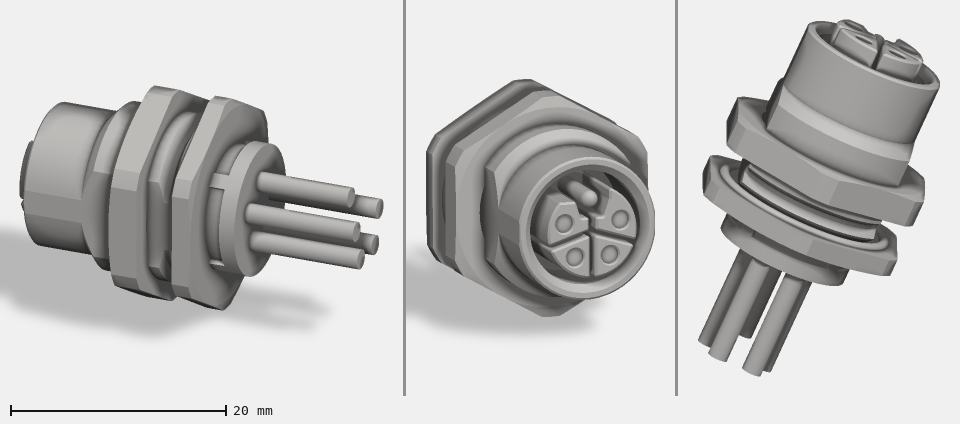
import cadquery as cq
import math


insert_radius = 4.4
insert_edge_chamfer = 0.2
insert_base_x = 7.5
slot_width = 0.5
stub_width = 0.68
slot_tilt = 17.5
block_corner_radius = 0.22
recess_floor_z = 1.36
recess_floor_half_width = 1.12
recess_shoulder_z = 2.97
recess_shoulder_half_width = 1.67

socket_positions = [(2.77, 0.9), (-2.77, 0.9), (1.72, -2.36), (-1.72, -2.36)]
socket_radius = 0.85
socket_chamfer = 0.15
socket_depth = 0.5
pin_z = 2.95
pin_radius = 0.8
pin_tip_x = 0.25
wire_radius = 0.95
wire_end_x = 33.38
center_wire_end_x = 31.66

shell_front_x = 1.41
shell_edge_chamfer = 0.2
shell_radius = 6.8
cone_start_x = 7.28
cone_end_x = 8.48
thread_radius = 8.0
flat_half_width = 6.7
mouth_radius = 6.1
bore_radius = 5.43
mouth_cone_length = 0.75
bore_floor_x = 8.5

groove_start_x = 15.1
groove_floor_start_x = 15.62
groove_floor_end_x = 16.06
groove_radius = 7.12
ridge_x = 16.64
neck_radius = 6.9

nut_front_x = 11.17
nut_back_x = 14.0
nut_bore_radius = 7.16
rear_hex_front_x = 17.57
rear_hex_back_x = 19.42
rear_hex_turn = -0.57
hex_across_flats = 19.0
corner_radius = 10.5
bevel_radius = 9.5
nut_bevel_depth = 0.27
rear_hex_bevel_depth = 0.19

seal_ring_radius = 8.12
seal_section_radius = 0.48

flange_start_x = 20.97
flange_end_x = 22.5
collar_radius = 5.82
flange_radius = 6.28
rib_count = 4
first_rib_angle = 44.5
rib_spread = 13.0


def yz_plane(x):
    """Sketch plane normal to the axis; local x is +Y and local y is +Z."""
    return cq.Workplane("YZ", origin=(x, 0, 0))


def disc(x_start, x_end, radius):
    return yz_plane(x_start).circle(radius).extrude(x_end - x_start)


def revolved(points):
    """Revolve an outline of (x, radius) points about the X axis."""
    return cq.Workplane("XY").polyline(points).close().revolve(360, (0, 0, 0), (1, 0, 0))


def make_shell():
    outer = revolved([
        (shell_front_x, 0),
        (shell_front_x, shell_radius - shell_edge_chamfer),
        (shell_front_x + shell_edge_chamfer, shell_radius),
        (cone_start_x, shell_radius),
        (cone_end_x, thread_radius),
        (groove_start_x, thread_radius),
        (groove_floor_start_x, groove_radius),
        (groove_floor_end_x, groove_radius),
        (ridge_x, thread_radius),
        (rear_hex_front_x, neck_radius),
        (rear_hex_front_x, 0),
    ])
    length = rear_hex_front_x - shell_front_x
    flats = yz_plane(shell_front_x).rect(2 * flat_half_width, 2 * thread_radius).extrude(length)
    return outer.intersect(flats)


def make_mating_bore():
    cone_end = shell_front_x + mouth_cone_length
    return revolved([
        (shell_front_x, 0),
        (shell_front_x, mouth_radius),
        (cone_end, bore_radius),
        (bore_floor_x, bore_radius),
        (bore_floor_x, 0),
    ])


def make_slot(width, angle):
    """Radial slot from the axis outward, angle measured from +Y towards +Z."""
    slot = yz_plane(0).center(insert_radius / 2, 0).rect(insert_radius, width).extrude(bore_floor_x)
    return slot.rotate((0, 0, 0), (1, 0, 0), angle)


def make_recess():
    """Keyed clearance around the male pin: stepped on +Y, straight-walled on -Y."""
    top = insert_radius
    outline = [
        (top, recess_shoulder_z),
        (recess_shoulder_half_width, recess_shoulder_z),
        (recess_floor_half_width, recess_floor_z),
        (-recess_floor_half_width, recess_floor_z),
        (-recess_shoulder_half_width, recess_shoulder_z),
        (-recess_shoulder_half_width, top),
        (top, top),
    ]
    return yz_plane(0).polyline(outline).close().extrude(bore_floor_x)


def make_insert():
    blocks = disc(0, bore_floor_x, insert_radius)
    for angle in (-slot_tilt, 180 + slot_tilt, 270):
        blocks = blocks.cut(make_slot(slot_width, angle))
    blocks = blocks.cut(make_slot(stub_width, 90)).cut(make_recess())
    blocks = blocks.edges("|X").fillet(block_corner_radius)
    blocks = blocks.faces("<X").chamfer(insert_edge_chamfer)
    base = disc(insert_base_x, bore_floor_x, insert_radius)
    base = base.faces("<X").chamfer(insert_edge_chamfer)
    insert = blocks.union(base)
    socket = revolved([
        (0, 0),
        (0, socket_radius + socket_chamfer),
        (socket_chamfer, socket_radius),
        (socket_depth, socket_radius),
        (socket_depth, 0),
    ])
    for y, z in socket_positions:
        insert = insert.cut(socket.translate((0, y, z)))
    return insert


def make_pin():
    dome_center_x = pin_tip_x + pin_radius
    pin = disc(dome_center_x, bore_floor_x, pin_radius)
    dome = cq.Workplane("XY").sphere(pin_radius).translate((dome_center_x, 0, 0))
    return pin.union(dome).translate((0, 0, pin_z))


def make_hexagon(x_start, x_end):
    """Hexagon with vertices on +Z and -Z and its corners turned to a cylinder."""
    across_corners = hex_across_flats / math.cos(math.pi / 6)
    length = x_end - x_start
    prism = yz_plane(x_start).polygon(6, across_corners).extrude(length)
    prism = prism.rotate((0, 0, 0), (1, 0, 0), 90)
    return prism.intersect(disc(x_start, x_end, corner_radius))


def make_nut():
    nut = make_hexagon(nut_front_x, nut_back_x)
    bevel = revolved([
        (nut_front_x, 0),
        (nut_front_x, bevel_radius),
        (nut_front_x + nut_bevel_depth, corner_radius),
        (nut_back_x, corner_radius),
        (nut_back_x, 0),
    ])
    return nut.intersect(bevel).cut(disc(nut_front_x, nut_back_x, nut_bore_radius))


def make_rear_hexagon():
    hexagon = make_hexagon(rear_hex_front_x, rear_hex_back_x)
    bevel = revolved([
        (rear_hex_front_x, 0),
        (rear_hex_front_x, corner_radius),
        (rear_hex_back_x - rear_hex_bevel_depth, corner_radius),
        (rear_hex_back_x, bevel_radius),
        (rear_hex_back_x, 0),
    ])
    return hexagon.intersect(bevel).rotate((0, 0, 0), (1, 0, 0), rear_hex_turn)


def make_seal():
    """Sealing ring half embedded in the front face of the rear hexagon."""
    section = cq.Workplane("XY").center(rear_hex_front_x, seal_ring_radius).circle(seal_section_radius)
    return section.revolve(360, (-rear_hex_front_x, -seal_ring_radius, 0),
                           (1 - rear_hex_front_x, -seal_ring_radius, 0))


def make_rear_collar():
    """Flange and collar, with ribs of the flange radius left standing along the collar."""
    rear = disc(rear_hex_back_x, flange_end_x, flange_radius)
    relief_length = flange_start_x - rear_hex_back_x
    relief = yz_plane(rear_hex_back_x).circle(flange_radius).circle(collar_radius).extrude(relief_length)
    wedge_reach = 2 * flange_radius
    half_spread = wedge_reach * math.tan(math.radians(rib_spread) / 2)
    wedge = yz_plane(rear_hex_back_x).polyline([
        (0, 0),
        (wedge_reach, -half_spread),
        (wedge_reach, half_spread),
    ]).close().extrude(relief_length)
    for index in range(rib_count):
        angle = first_rib_angle + index * 360 / rib_count
        relief = relief.cut(wedge.rotate((0, 0, 0), (1, 0, 0), angle))
    return rear.cut(relief)


def make_wires():
    wires = disc(flange_end_x, center_wire_end_x, wire_radius).translate((0, 0, pin_z))
    for y, z in socket_positions:
        wires = wires.union(disc(flange_end_x, wire_end_x, wire_radius).translate((0, y, z)))
    return wires


result = make_shell().cut(make_mating_bore())
result = result.union(make_insert()).union(make_pin())
result = result.union(make_nut()).union(make_rear_hexagon()).union(make_seal())
result = result.union(make_rear_collar()).union(make_wires())